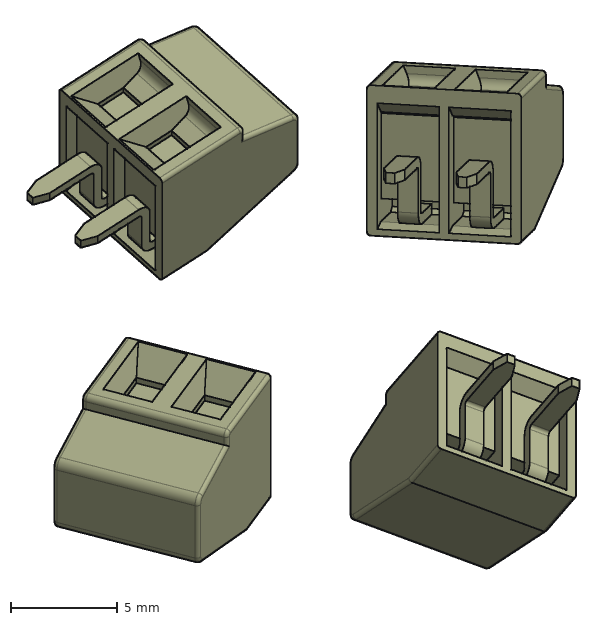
import cadquery as cq


housing_width = 7.5
housing_depth = 8.5
housing_height = 7.3
step_y = 5.1
step_foot_z = 6.54
roof_rear_z = 5.68
base_flat_length = 2.8
base_rear_z = 1.86
step_round = 0.3
rear_round = 0.5
side_round = 0.2

pitch = 3.5
pole_centers = (-pitch / 2, pitch / 2)

cavity_width = 3.0
divider_width = 0.48
mouth_top_z = 6.45
mouth_bottom_z = 0.34
lead_in_depth = 0.72
ceiling_z = 5.85
floor_z = 0.54
floor_end_y = 2.64
ledge_front_y = 2.98
ledge_foot_z = 0.75
ledge_top_z = 1.65
chamber_rear_y = 3.7

funnel_width = 2.52
funnel_front_y = 0.11
funnel_rear_y = 4.25
funnel_depth = 1.12
funnel_rear_corner_depth = 0.77
funnel_round = 0.5
neck_width = 1.61
neck_front_y = 1.38
neck_rear_y = 2.95

clamp_width = 2.88
clamp_front_y = 0.61
clamp_bottom_z = 1.68
clamp_top_z = 5.82

pin_width = 1.01
pin_thickness = 0.52
pin_reach = 3.5
pin_top_z = 3.97
bend_inner_radius = 0.18
bend_outer_radius = bend_inner_radius + pin_thickness
tip_length = 0.8
tip_width = 0.42


def extrude_across(profile, width, center_x=0):
    """Extrude a closed YZ profile symmetrically along X about center_x."""
    return profile.extrude(width / 2, both=True).translate((center_x, 0, 0))


def make_cavity(center_x):
    """Chamber open at the connection side, with sloping lead-ins and a ledge at the rear."""
    side = -1 if center_x < 0 else 1
    cavity_center_x = side * (divider_width + cavity_width) / 2
    profile = cq.Workplane("YZ").polyline([
        (0, mouth_bottom_z),
        (lead_in_depth, floor_z),
        (floor_end_y, floor_z),
        (ledge_front_y, ledge_foot_z),
        (ledge_front_y, ledge_top_z),
        (chamber_rear_y, ledge_top_z),
        (chamber_rear_y, ceiling_z),
        (lead_in_depth, ceiling_z),
        (0, mouth_top_z),
    ]).close()
    return extrude_across(profile, cavity_width, cavity_center_x)


def make_funnel(center_x):
    """Tapered wire entry that ends in a straight neck opening into the cavity."""
    funnel_bottom_z = housing_height - funnel_depth
    profile = cq.Workplane("YZ").polyline([
        (funnel_front_y, housing_height),
        (neck_front_y, funnel_bottom_z),
        (neck_rear_y, funnel_bottom_z),
        (funnel_rear_y, housing_height - funnel_rear_corner_depth),
        (funnel_rear_y, housing_height),
    ]).close()
    bowl = extrude_across(profile, funnel_width, center_x)
    bowl = bowl.faces(">Y").edges("<Z").fillet(funnel_round)
    taper = (
        cq.Workplane("XZ")
        .polyline([
            (center_x - funnel_width / 2, housing_height),
            (center_x - neck_width / 2, funnel_bottom_z),
            (center_x + neck_width / 2, funnel_bottom_z),
            (center_x + funnel_width / 2, housing_height),
        ])
        .close()
        .extrude(-housing_depth)
    )
    neck = cq.Workplane("XY").box(
        neck_width,
        neck_rear_y - neck_front_y,
        funnel_bottom_z - ceiling_z,
        centered=(True, False, False),
    ).translate((center_x, neck_front_y, ceiling_z))
    return bowl.intersect(taper).union(neck)


def make_housing():
    profile = cq.Workplane("YZ").polyline([
        (0, 0),
        (base_flat_length, 0),
        (housing_depth, base_rear_z),
        (housing_depth, roof_rear_z),
        (step_y, step_foot_z),
        (step_y, housing_height),
        (0, housing_height),
    ]).close()
    shell = extrude_across(profile, housing_width)
    shell = shell.faces(">Y").edges("|X").fillet(rear_round)
    shell = shell.faces(">Z").edges("|X and >Y").fillet(step_round)

    shell = shell.faces("<X or >X").edges("not <Y").fillet(side_round)

    for center_x in pole_centers:
        shell = shell.cut(make_cavity(center_x)).cut(make_funnel(center_x))
    return shell


def make_clamp(center_x):
    """Clamp block against the chamber rear, with slight clearance to the ledge and ceiling."""
    return cq.Workplane("XY").box(
        clamp_width,
        chamber_rear_y - clamp_front_y,
        clamp_top_z - clamp_bottom_z,
        centered=(True, False, False),
    ).translate((center_x, clamp_front_y, clamp_bottom_z))


def make_pin(center_x):
    """Flat strip bent twice: a pointed tip, an upright leg and a foot on the cavity floor."""
    foot_top_z = floor_z + pin_thickness
    pin_bottom_z = pin_top_z - pin_thickness
    inner = bend_inner_radius
    outer = bend_outer_radius
    profile = (
        cq.Workplane("YZ")
        .moveTo(-pin_reach, pin_top_z)
        .lineTo(pin_thickness - outer, pin_top_z)
        .tangentArcPoint((outer, -outer))
        .lineTo(pin_thickness, foot_top_z + inner)
        .tangentArcPoint((inner, -inner))
        .lineTo(floor_end_y, foot_top_z)
        .lineTo(floor_end_y, floor_z)
        .lineTo(outer, floor_z)
        .tangentArcPoint((-outer, outer))
        .lineTo(0, pin_bottom_z - inner)
        .tangentArcPoint((-inner, inner))
        .lineTo(-pin_reach, pin_bottom_z)
        .close()
    )
    strip = extrude_across(profile, pin_width, center_x)
    plan = (
        cq.Workplane("XY")
        .polyline([
            (center_x - tip_width / 2, -pin_reach),
            (center_x + tip_width / 2, -pin_reach),
            (center_x + pin_width / 2, tip_length - pin_reach),
            (center_x + pin_width / 2, floor_end_y),
            (center_x - pin_width / 2, floor_end_y),
            (center_x - pin_width / 2, tip_length - pin_reach),
        ])
        .close()
        .extrude(housing_height)
    )
    return strip.intersect(plan)


housing = make_housing()
clamps = [make_clamp(center_x) for center_x in pole_centers]
pins = [make_pin(center_x) for center_x in pole_centers]

result = cq.Compound.makeCompound([
    housing.val(),
    *[clamp.val() for clamp in clamps],
    *[pin.val() for pin in pins],
])